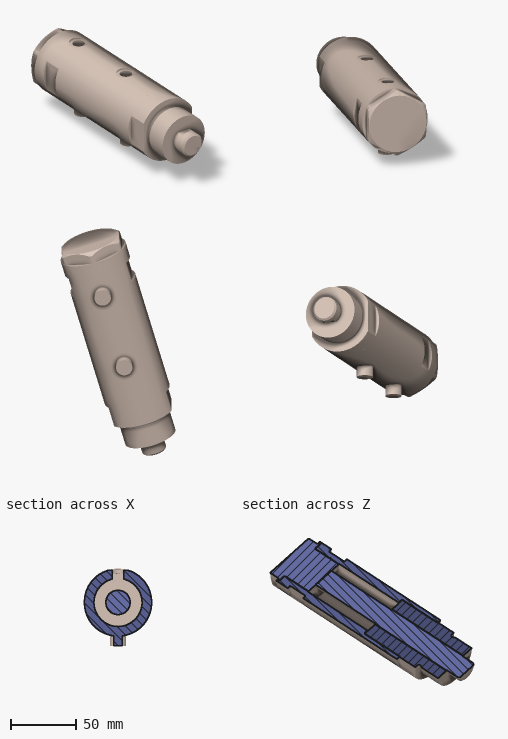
import cadquery as cq
import math


body_radius = 26.0
bore_radius = 18.3
flat_offset = 23.0

hex_length = 8.8
cap_face_radius = 22.5
cap_chamfer_length = 2.7
collar_end_x = 11.0
plug_end_x = 34.7

gland_joint_x = 130.5
tube_flat_start_x = 20.5
tube_flat_end_x = 35.8
port_positions_x = (30.5, 91.8)
port_radius = 4.8
spotface_radius = 7.5
spotface_z = 24.9
stub_positions_x = (35.3, 94.7)
stub_radius = 6.3
stub_bottom_z = -33.5

spigot_start_x = 94.9
spigot_radius = 22.0
gland_shoulder_x = 146.5
gland_end_x = 166.8
nose_radius = 20.0
relief_radius = 19.0
relief_fillet = 0.9
relief_end_x = 149.8

rod_radius = 9.5
rod_end_x = 179.0
rod_flat_offset = 7.9
rod_flat_end_x = 172.8
rod_chamfer = 1.5


def cylinder_x(radius, start_x, end_x):
    """Cylinder on the X axis between two positions."""
    return cq.Workplane("YZ").workplane(offset=start_x).circle(radius).extrude(end_x - start_x)


def revolve_x(profile):
    """Turn a closed profile, drawn as X and radius, about the X axis."""
    return profile.close().revolve(360, (0, 0, 0), (1, 0, 0))


def parallel_flats(solid, normal_axis, offset, start_x, end_x):
    """Cut two opposite flats, square to Y or Z, over a stretch of the axis."""
    length = end_x - start_x
    size = 2 * body_radius
    for side in (1, -1):
        center = side * (offset + size / 2)
        y, z = (center, 0) if normal_axis == "Y" else (0, center)
        cutter = cq.Workplane("XY").box(length, size, size).translate((start_x + length / 2, y, z))
        solid = solid.cut(cutter)
    return solid


def make_cap():
    """Hex head with a turned chamfer, a round collar and a plug that fills the bore."""
    corner_diameter = 2 * flat_offset / math.cos(math.pi / 6)
    head_blank = revolve_x(
        cq.Workplane("XY")
        .lineTo(0, cap_face_radius)
        .lineTo(cap_chamfer_length, body_radius)
        .lineTo(hex_length, body_radius)
        .lineTo(hex_length, 0)
    )
    hexagon = (
        cq.Workplane("YZ")
        .transformed(rotate=(0, 0, 90))
        .polygon(6, corner_diameter)
        .extrude(hex_length)
    )
    head = head_blank.intersect(hexagon)
    collar = cylinder_x(body_radius, hex_length, collar_end_x)
    plug = cylinder_x(bore_radius, collar_end_x, plug_end_x)
    return head.union(collar).union(plug)


def make_tube():
    """Bored tube with wrench flats, two ports on top and two stubs below."""
    tube = cylinder_x(body_radius, collar_end_x, gland_joint_x)
    tube = parallel_flats(tube, "Y", flat_offset, tube_flat_start_x, tube_flat_end_x)
    for x in stub_positions_x:
        stub = cq.Workplane("XY", origin=(x, 0, stub_bottom_z)).circle(stub_radius).extrude(-stub_bottom_z)
        tube = tube.union(stub)
    tube = tube.cut(cylinder_x(bore_radius, collar_end_x, gland_joint_x))
    tube = tube.cut(cylinder_x(spigot_radius, spigot_start_x, gland_joint_x))
    for x in port_positions_x:
        port = cq.Workplane("XY", origin=(x, 0, 0)).circle(port_radius).extrude(body_radius)
        spotface = (
            cq.Workplane("XY", origin=(x, 0, spotface_z))
            .circle(spotface_radius)
            .extrude(body_radius - spotface_z)
        )
        tube = tube.cut(port).cut(spotface)
    return tube


def make_gland():
    """Rod guide: spigot inside the tube, flanged body with flats, relief groove and nose."""
    fillet_drop = relief_fillet * (1 - math.sqrt(0.5))
    chamfer_start_x = relief_end_x - (nose_radius - relief_radius)
    gland = revolve_x(
        cq.Workplane("XY")
        .moveTo(spigot_start_x, rod_radius)
        .lineTo(spigot_start_x, spigot_radius)
        .lineTo(gland_joint_x, spigot_radius)
        .lineTo(gland_joint_x, body_radius)
        .lineTo(gland_shoulder_x, body_radius)
        .lineTo(gland_shoulder_x, relief_radius + relief_fillet)
        .threePointArc(
            (gland_shoulder_x + fillet_drop, relief_radius + fillet_drop),
            (gland_shoulder_x + relief_fillet, relief_radius),
        )
        .lineTo(chamfer_start_x, relief_radius)
        .lineTo(relief_end_x, nose_radius)
        .lineTo(gland_end_x, nose_radius)
        .lineTo(gland_end_x, rod_radius)
    )
    return parallel_flats(gland, "Y", flat_offset, gland_joint_x, gland_shoulder_x)


def make_rod():
    """Rod from the cap plug out through the gland, with two flats behind its chamfered tip."""
    rod = revolve_x(
        cq.Workplane("XY")
        .moveTo(plug_end_x, 0)
        .lineTo(plug_end_x, rod_radius)
        .lineTo(rod_end_x - rod_chamfer, rod_radius)
        .lineTo(rod_end_x, rod_radius - rod_chamfer)
        .lineTo(rod_end_x, 0)
    )
    return parallel_flats(rod, "Z", rod_flat_offset, gland_end_x, rod_flat_end_x)


cap = make_cap()
tube = make_tube()
gland = make_gland()
rod = make_rod()

result = cq.Compound.makeCompound([cap.val(), tube.val(), gland.val(), rod.val()])